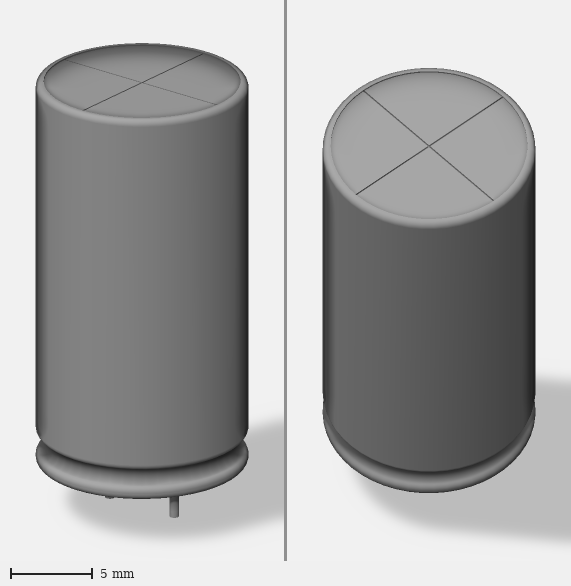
import cadquery as cq
import math

overall_height = 28

can_diameter = 13.0
can_radius = can_diameter / 2
can_height = 25.0
edge_round = 0.4

bead_height = 1.4
bead_diameter = 11.7
bead_radius = 0.62
bead_edge_round = 0.35

recess_diameter = 12.0
recess_depth = 0.1
score_width = 0.1
score_depth = 0.1

lead_diameter = 0.6
lead_pitch = 5.0
lead_length = overall_height - can_height


def make_can():
    """Revolve the can outline: rounded ends and a rounded hollow bead."""
    hollow_x = bead_diameter / 2 + bead_radius
    round_x = can_radius - bead_edge_round
    centre_distance = bead_radius + bead_edge_round
    rise = math.sqrt(centre_distance**2 - (round_x - hollow_x) ** 2)
    share = bead_radius / centre_distance
    joint_x = hollow_x + share * (round_x - hollow_x)
    joint_rise = share * rise

    return (
        cq.Workplane("XZ")
        .lineTo(can_radius - edge_round, 0)
        .radiusArc((can_radius, edge_round), -edge_round)
        .lineTo(can_radius, bead_height - rise)
        .radiusArc((joint_x, bead_height - joint_rise), -bead_edge_round)
        .threePointArc((bead_diameter / 2, bead_height), (joint_x, bead_height + joint_rise))
        .radiusArc((can_radius, bead_height + rise), -bead_edge_round)
        .lineTo(can_radius, can_height - edge_round)
        .radiusArc((can_radius - edge_round, can_height), -edge_round)
        .lineTo(0, can_height)
        .close()
        .revolve(360, (0, 0), (0, 1))
    )


def make_vent_cut():
    """Shape removed from the top: round recess plus a cross scored in its floor."""
    floor = can_height - recess_depth
    recess = cq.Workplane("XY", origin=(0, 0, floor)).circle(recess_diameter / 2).extrude(recess_depth)
    score_plane = cq.Workplane("XY", origin=(0, 0, floor - score_depth))
    cross = score_plane.rect(recess_diameter, score_width).extrude(score_depth)
    cross = cross.union(score_plane.rect(score_width, recess_diameter).extrude(score_depth))
    within = score_plane.circle(recess_diameter / 2).extrude(score_depth)
    return recess.union(cross.intersect(within))


def make_leads():
    """Two straight round leads below the can, side by side along X."""
    return (
        cq.Workplane("XY")
        .pushPoints([(-lead_pitch / 2, 0), (lead_pitch / 2, 0)])
        .circle(lead_diameter / 2)
        .extrude(-lead_length)
    )


result = make_can().cut(make_vent_cut()).union(make_leads())